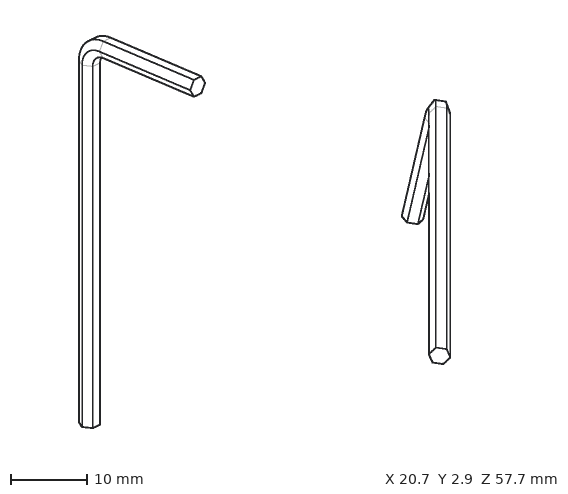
import cadquery as cq
import math

total_height = 57.65
total_width = 20.65
across_corners = 2.9
outer_bend_radius = 4.3

across_flats = across_corners * math.cos(math.pi / 6)
half_flats = across_flats / 2
bend_radius = outer_bend_radius - half_flats
long_arm_length = total_height - outer_bend_radius
top_axis_height = total_height - half_flats
short_arm_end_x = total_width - half_flats

bend_mid_x = bend_radius * (1 - math.cos(math.pi / 4))
bend_mid_z = long_arm_length + bend_radius * math.sin(math.pi / 4)
centre_line = (
    cq.Workplane("XZ")
    .lineTo(0, long_arm_length)
    .threePointArc((bend_mid_x, bend_mid_z), (bend_radius, top_axis_height))
    .lineTo(short_arm_end_x, top_axis_height)
)

hexagon = cq.Workplane("XY").transformed(rotate=(0, 0, 90)).polygon(6, across_corners)

result = hexagon.sweep(centre_line)